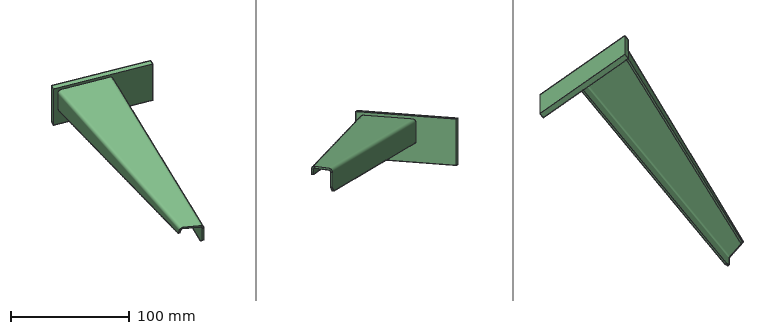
import cadquery as cq

total_length = 215.0
plate_thickness = 5.0
plate_width = 90.0
plate_height = 40.0
arm_drop = 2.5

sheet = 1.7
bend_radius = 3.2
inner_radius = bend_radius - sheet
arm_top = plate_height / 2 - arm_drop
rear_y = 9.0
front_root_y = -41.3
front_tip_y = -11.5
front_tip_x = 211.0

rear_depth = 20.2
rear_corner_cut = 4.3
tip_setback = 0.5
front_root_depth = 21.0
front_tip_depth = 8.0
front_tip_slant = 2.8
root_bevel = 0.5


def front_y(x):
    """Y of the front flange's outer face at a given X."""
    slope = (front_tip_y - front_root_y) / (front_tip_x - plate_thickness)
    return front_root_y + slope * (x - plate_thickness)


def end_x(y):
    """X of the oblique end cut across the rear flange and web at a given Y."""
    slope = (total_length - front_tip_x) / (rear_y - front_tip_y - bend_radius)
    return total_length - slope * (rear_y - y)


def make_plate():
    return cq.Workplane("XY").box(
        plate_thickness, plate_width, plate_height, centered=(False, True, True)
    )


def plan_prism(points, depth):
    """Prism from the arm top downwards, over (X, Y) points."""
    return (
        cq.Workplane("XY", origin=(0, 0, arm_top))
        .polyline(points)
        .close()
        .extrude(-depth)
    )


def long_block(inset, radius, x_start, x_end):
    """Tapered block under the arm top, its long upper edges rounded."""
    block = plan_prism([
        (x_start, rear_y - inset),
        (x_end, rear_y - inset),
        (x_end, front_y(x_end) + inset),
        (x_start, front_y(x_start) + inset),
    ], front_root_depth).translate((0, 0, -inset))
    return block.faces(">Z").edges("not |Y").fillet(radius)


def side_profile(points, y_start, y_end):
    """Prism along Y from (X, depth below the arm top) points."""
    return (
        cq.Workplane("XZ", origin=(0, y_start, arm_top))
        .polyline([(x, -depth) for x, depth in points])
        .close()
        .extrude(y_start - y_end)
    )


def make_rear_part():
    """Space kept for the rear flange and its fold."""
    fold_line = rear_y - bend_radius
    web_tip = total_length - tip_setback
    profile = side_profile([
        (plate_thickness, 0),
        (web_tip, 0),
        (web_tip, bend_radius),
        (total_length, bend_radius),
        (total_length, rear_depth - rear_corner_cut),
        (total_length - rear_corner_cut, rear_depth),
        (plate_thickness, rear_depth),
    ], rear_y, fold_line)
    strip = plan_prism([
        (plate_thickness, rear_y),
        (total_length, rear_y),
        (end_x(fold_line), fold_line),
        (plate_thickness, fold_line),
    ], rear_depth)
    return profile.intersect(strip)


def make_web_part():
    """Space kept for the flat web between the two folds."""
    fold_line = rear_y - bend_radius
    return plan_prism([
        (plate_thickness, fold_line),
        (end_x(fold_line), fold_line),
        (front_tip_x, front_tip_y + bend_radius),
        (plate_thickness, front_root_y + bend_radius),
    ], bend_radius)


def make_front_part():
    """Space kept for the front flange and its fold."""
    profile = side_profile([
        (plate_thickness, 0),
        (front_tip_x, 0),
        (front_tip_x - front_tip_slant, front_tip_depth),
        (plate_thickness, front_root_depth),
    ], front_tip_y + bend_radius, front_root_y)
    strip = plan_prism([
        (plate_thickness + root_bevel, front_y(plate_thickness + root_bevel)),
        (front_tip_x, front_tip_y),
        (front_tip_x, front_tip_y + bend_radius),
        (plate_thickness, front_root_y + bend_radius),
    ], front_root_depth)
    return profile.intersect(strip)


def make_arm():
    outer = long_block(0, bend_radius, plate_thickness, total_length)
    inner = long_block(sheet, inner_radius, 0, total_length + plate_thickness)
    outline = make_rear_part().union(make_web_part()).union(make_front_part())
    return outer.cut(inner).intersect(outline)


plate = make_plate()
arm = make_arm()

result = cq.Compound.makeCompound([plate.val(), *arm.vals()])